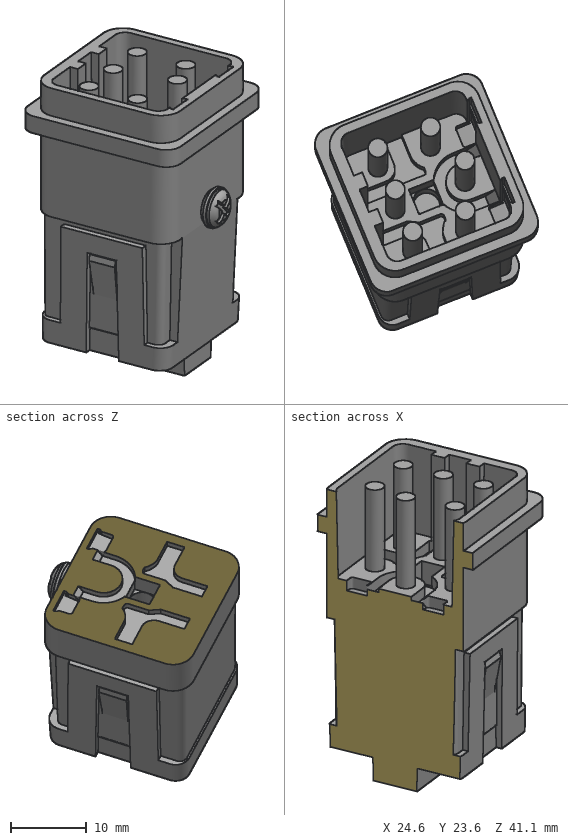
import cadquery as cq
import math

total_height = 41.1
foot_bottom_z = 3.37
foot_top_z = 6.75
panel_top_z = 20.95
sleeve_bottom_z = 22.12
floor_z = 28.3
flange_bottom_z = 34.38
flange_top_z = 36.9
rim_z = 40.9

sleeve_side = 20.97
sleeve_radius = 2.95
sleeve_face = sleeve_side / 2
flange_side = 23.6
flange_radius = 2.25

body_left = -9.8
body_radius = 1.03
body_right_low, body_right_high = 8.55, 8.85
body_half_low, body_half_high = 9.2, 9.35
foot_left = -10.07
foot_radius = 1.97
foot_right_low, foot_right_high = 9.6, 9.75
foot_half_low, panel_half_high = 10.0, 10.25
side_draft = (panel_half_high - foot_half_low) / (panel_top_z - foot_bottom_z)
foot_half_high = foot_half_low + side_draft * (foot_top_z - foot_bottom_z)
panel_width_low, panel_width_high = 12.9, 12.6
wedge_half = 7.0
wedge_inner_x = 6.15

window_top_z = 18.1
window_width_low, window_width_high = 5.0, 4.5
window_face = 9.3
window_foot_face = 9.13
tab_top_z = 17.85
tab_edge_z = 17.0
tab_bottom_z = 11.85
tab_width_low, tab_width_high = 3.6, 4.0
tab_face, tab_top_face = 10.15, 9.95
tab_root_depth = 0.4

cavity_left_low, cavity_left_high = -8.68, -8.85
cavity_right = 8.75
cavity_half_low, cavity_half_high = 9.0, 9.3
cavity_radius = 1.5
rib_face_x = -7.65
rib_inner_y, rib_outer_y = 1.65, 3.65

pin_diameter = 2.55
pin_left_x, pin_right_x, pin_end_x = -4.45, 3.05, 5.45
pin_row_y = 6.1
pin_top_z = 40.2

groove_depth = 1.6
arm_inner_y, arm_middle_y, arm_outer_y = 2.1, 2.85, 3.95
arm_step_start_x, arm_step_end_x = -3.55, -2.15
arm_pad_edge_x, arm_far_edge_x = -2.3, 0.12
arm_pad_radius = 1.75
arm_tip_x = 1.2
arm_tip_radius = 0.4
arm_pin_clearance = 2.95
ring_inner_radius, ring_outer_radius = 2.5, 4.15
ramp_start_x = 7.3
screw_well_side = 3.58
screw_well_depth = 3.3
screw_hole_depth = 5.75

keyway_mouth_x = 8.35
keyway_neck_half, keyway_half = 1.52, 1.8
keyway_y = 5.8
keyway_flare_x, keyway_back_x = 9.15, 9.45
keyway_stop_low_z, keyway_stop_high_z = 34.2, 36.75
pocket_front_x = 7.05
pocket_front_depth, pocket_back_depth = 1.65, 1.3
pocket_radius = 0.33

screw_z = 23.95
screw_root_radius, screw_rim_radius = 2.3, 2.8
screw_dome_radius, screw_top_radius = 2.6, 1.4
screw_rim_start_x, screw_rim_end_x = 11.1, 11.55
screw_dome_x, screw_top_x = 11.92, 12.75
screw_slot_width, screw_slot_length, screw_slot_depth = 0.82, 3.9, 0.6
screw_shank_length = 0.6
screw_dome_bulge = 0.6

plug_left_low, plug_left_high = 0.8, 0.65
plug_right = 8.6
plug_half_low, plug_half_high = 3.35, 3.4


def outline(left, right, half, radius):
    sketch = cq.Sketch().push([((left + right) / 2, 0)]).rect(right - left, 2 * half).reset()
    if radius:
        sketch = sketch.vertices().fillet(radius)
    return sketch


def drafted_block(low, high, low_z, high_z, radius=0):
    """Block between two outlines, each (left x, right x, half width in Y)."""
    low_outline = outline(*low, radius).moved(cq.Location(cq.Vector(0, 0, low_z)))
    high_outline = outline(*high, radius).moved(cq.Location(cq.Vector(0, 0, high_z)))
    return cq.Workplane("XY").placeSketch(low_outline, high_outline).loft()


def box(left, right, front, back, low_z, high_z):
    size = (right - left, back - front, high_z - low_z)
    return cq.Workplane("XY").box(*size, centered=False).translate((left, front, low_z))


def rounded_square(side, radius, low_z, high_z):
    square = cq.Workplane("XY").workplane(offset=low_z).rect(side, side).extrude(high_z - low_z)
    return square.edges("|Z").fillet(radius)


def both_sides(solid):
    return solid.union(solid.mirror("XZ"))


def trapezoid(low_width, high_width, low_z, high_z, inner_y, outer_y):
    """Slab on the -Y side, symmetric in X, spanning the given distances from the XZ plane."""
    points = [
        (-low_width / 2, low_z),
        (low_width / 2, low_z),
        (high_width / 2, high_z),
        (-high_width / 2, high_z),
    ]
    slab = cq.Workplane("XZ").workplane(offset=inner_y).polyline(points).close()
    return slab.extrude(outer_y - inner_y)


def make_lower_body():
    body = drafted_block(
        (body_left, body_right_low, body_half_low),
        (body_left, body_right_high, body_half_high),
        foot_top_z, sleeve_bottom_z, body_radius,
    )
    foot = drafted_block(
        (foot_left, foot_right_low, foot_half_low),
        (foot_left, foot_right_high, foot_half_high),
        foot_bottom_z, foot_top_z, foot_radius,
    )
    wedge = drafted_block(
        (wedge_inner_x, foot_right_high, wedge_half),
        (wedge_inner_x, sleeve_face, wedge_half),
        foot_top_z, sleeve_bottom_z,
    )
    panels = drafted_block(
        (-panel_width_low / 2, panel_width_low / 2, foot_half_high),
        (-panel_width_high / 2, panel_width_high / 2, panel_half_high),
        foot_top_z, panel_top_z,
    )
    plug = drafted_block(
        (plug_left_low, plug_right, plug_half_low),
        (plug_left_high, plug_right, plug_half_high),
        0, foot_bottom_z,
    )
    return body.union(foot).union(panels).clean().union(wedge).union(plug)


def make_windows():
    slope = (window_width_low - window_width_high) / (window_top_z - foot_bottom_z)
    middle_width = window_width_low - slope * (foot_top_z - foot_bottom_z)
    upper = trapezoid(
        middle_width, window_width_high, foot_top_z, window_top_z, window_face, flange_side / 2
    )
    lower = trapezoid(
        window_width_low, middle_width, foot_bottom_z, foot_top_z, window_foot_face, flange_side / 2
    )
    return both_sides(upper.union(lower))


def make_latch_tabs():
    root_y = -body_half_low + tab_root_depth
    profile = [
        (root_y, tab_bottom_z),
        (-window_face, tab_bottom_z),
        (-tab_face, tab_edge_z),
        (-tab_top_face, tab_top_z),
        (root_y, tab_top_z),
    ]
    tab = cq.Workplane("YZ").polyline(profile).close().extrude(tab_width_high / 2, both=True)
    sides = trapezoid(
        tab_width_low, tab_width_high, tab_bottom_z, tab_top_z, -root_y, flange_side / 2
    )
    return both_sides(tab.intersect(sides))


def make_cavity():
    cavity = drafted_block(
        (cavity_left_low, cavity_right, cavity_half_low),
        (cavity_left_high, cavity_right, cavity_half_high),
        floor_z, rim_z, cavity_radius,
    )
    rib = box(cavity_left_high, rib_face_x, -rib_outer_y, -rib_inner_y, floor_z, rim_z)
    return cavity.cut(both_sides(rib))


def arc_point(center, radius, angle):
    return (center[0] + radius * math.cos(angle), center[1] + radius * math.sin(angle))


def make_arm_grooves():
    """L-shaped grooves from the ribs, between the pins, to the Y walls."""
    right_pin = (pin_right_x, pin_row_y)
    pad_center = (arm_pad_edge_x - arm_pad_radius, arm_outer_y + arm_pad_radius)
    bend_start = math.pi + math.acos((pin_right_x - arm_tip_x) / arm_pin_clearance)
    bend_end = math.pi + math.acos((pin_right_x - arm_far_edge_x) / arm_pin_clearance)
    arm = (
        cq.Workplane("XY").workplane(offset=floor_z - groove_depth)
        .moveTo(rib_face_x, arm_inner_y)
        .lineTo(arm_step_start_x, arm_inner_y)
        .lineTo(arm_step_end_x, arm_middle_y)
        .lineTo(arm_tip_x - arm_tip_radius, arm_middle_y)
        .tangentArcPoint((arm_tip_x, arm_middle_y + arm_tip_radius), relative=False)
        .lineTo(*arc_point(right_pin, arm_pin_clearance, bend_start))
        .threePointArc(
            arc_point(right_pin, arm_pin_clearance, (bend_start + bend_end) / 2),
            arc_point(right_pin, arm_pin_clearance, bend_end),
        )
        .lineTo(arm_far_edge_x, cavity_half_low)
        .lineTo(arm_pad_edge_x, cavity_half_low)
        .lineTo(arm_pad_edge_x, pad_center[1])
        .threePointArc(
            arc_point(pad_center, arm_pad_radius, -math.pi / 4),
            (pad_center[0], arm_outer_y),
        )
        .lineTo(rib_face_x, arm_outer_y)
        .close()
        .extrude(groove_depth)
    )
    return both_sides(arm)


def wall_capsule(radius):
    """Floor recess round the end pin, running straight on to the +X wall."""
    bottom_z = floor_z - groove_depth
    base = cq.Workplane("XY").workplane(offset=bottom_z)
    round_end = base.center(pin_end_x, 0).circle(radius).extrude(groove_depth)
    straight = box(pin_end_x, cavity_right, -radius, radius, bottom_z, floor_z)
    beyond_wall = box(cavity_right, flange_side, -radius, radius, bottom_z, floor_z)
    return round_end.union(straight).cut(beyond_wall)


def make_ring_groove():
    """U-shaped groove round the end pin, rising to the floor along ramps at the wall."""
    ramp = (
        cq.Workplane("XZ")
        .polyline([
            (ramp_start_x, floor_z - groove_depth),
            (cavity_right, floor_z - groove_depth),
            (cavity_right, floor_z),
        ])
        .close()
        .extrude(ring_outer_radius, both=True)
    )
    return wall_capsule(ring_outer_radius).cut(wall_capsule(ring_inner_radius)).cut(ramp)


def make_screw_well():
    """Square well in the middle of the floor with a round blind hole below it."""
    well = cq.Workplane("XY").workplane(offset=floor_z)
    square = well.rect(screw_well_side, screw_well_side).extrude(-screw_well_depth)
    return square.union(well.circle(screw_well_side / 2).extrude(-screw_hole_depth))


def make_keyways():
    """Flared slots in the +X wall, each partly filled by a stop below the rim."""
    points = [
        (keyway_mouth_x, keyway_y - keyway_neck_half),
        (cavity_right, keyway_y - keyway_neck_half),
        (keyway_flare_x, keyway_y - keyway_half),
        (keyway_back_x, keyway_y - keyway_half),
        (keyway_back_x, keyway_y + keyway_half),
        (keyway_flare_x, keyway_y + keyway_half),
        (cavity_right, keyway_y + keyway_neck_half),
        (keyway_mouth_x, keyway_y + keyway_neck_half),
    ]
    bottom_z = floor_z - pocket_back_depth
    slot = cq.Workplane("XY").workplane(offset=bottom_z).polyline(points).close()
    slot = slot.extrude(rim_z - bottom_z)
    stop = box(
        keyway_flare_x, keyway_back_x, keyway_y - keyway_half, keyway_y + keyway_half,
        keyway_stop_low_z, keyway_stop_high_z,
    )
    return both_sides(slot.cut(stop))


def make_keyway_pockets():
    """Pockets in the floor in front of the keyways, with a slightly sloping bottom."""
    profile = [
        (pocket_front_x, floor_z - pocket_front_depth),
        (keyway_flare_x, floor_z - pocket_back_depth),
        (keyway_flare_x, floor_z),
        (pocket_front_x, floor_z),
    ]
    pocket = (
        cq.Workplane("XZ", origin=(0, keyway_y, 0))
        .polyline(profile)
        .close()
        .extrude(keyway_neck_half, both=True)
        .edges("|Z and <X")
        .fillet(pocket_radius)
    )
    return both_sides(pocket)


def make_pins():
    low_pins = [(pin_left_x, 0)]
    for x in (pin_left_x, pin_right_x):
        low_pins += [(x, -pin_row_y), (x, pin_row_y)]
    base = cq.Workplane("XY").workplane(offset=floor_z - groove_depth)
    pins = base.pushPoints(low_pins).circle(pin_diameter / 2)
    pins = pins.extrude(pin_top_z - floor_z + groove_depth)
    end_pin = base.center(pin_end_x, 0).circle(pin_diameter / 2)
    return pins.union(end_pin.extrude(total_height - floor_z + groove_depth))


def make_screw():
    """Domed screw head on the +X wall with a cross slot turned to 45 degrees."""
    root_x = sleeve_face - screw_shank_length
    dome_mid = (
        screw_dome_x + screw_dome_bulge * (screw_top_x - screw_dome_x),
        screw_top_radius + screw_dome_bulge * (screw_dome_radius - screw_top_radius),
    )
    head = (
        cq.Workplane("XY")
        .moveTo(root_x, 0)
        .lineTo(root_x, screw_root_radius)
        .lineTo(sleeve_face, screw_root_radius)
        .lineTo(screw_rim_start_x, screw_rim_radius)
        .lineTo(screw_rim_end_x, screw_rim_radius)
        .lineTo(screw_rim_end_x, screw_dome_radius)
        .lineTo(screw_dome_x, screw_dome_radius)
        .threePointArc(dome_mid, (screw_top_x, screw_top_radius))
        .lineTo(screw_top_x, 0)
        .close()
        .revolve(360, (0, 0, 0), (1, 0, 0))
    )
    for angle in (45, -45):
        slot = cq.Workplane("YZ", origin=(screw_top_x, 0, 0)).rect(screw_slot_length, screw_slot_width)
        slot = slot.extrude(-screw_slot_depth)
        head = head.cut(slot.rotate((0, 0, 0), (1, 0, 0), angle))
    return head.translate((0, 0, screw_z))


housing = make_lower_body().cut(make_windows()).union(make_latch_tabs())
housing = housing.union(rounded_square(sleeve_side, sleeve_radius, sleeve_bottom_z, rim_z))
housing = housing.union(rounded_square(flange_side, flange_radius, flange_bottom_z, flange_top_z))
recesses = (
    make_cavity(),
    make_arm_grooves(),
    make_ring_groove(),
    make_screw_well(),
    make_keyways(),
    make_keyway_pockets(),
)
for recess in recesses:
    housing = housing.cut(recess)
result = housing.union(make_pins()).union(make_screw())